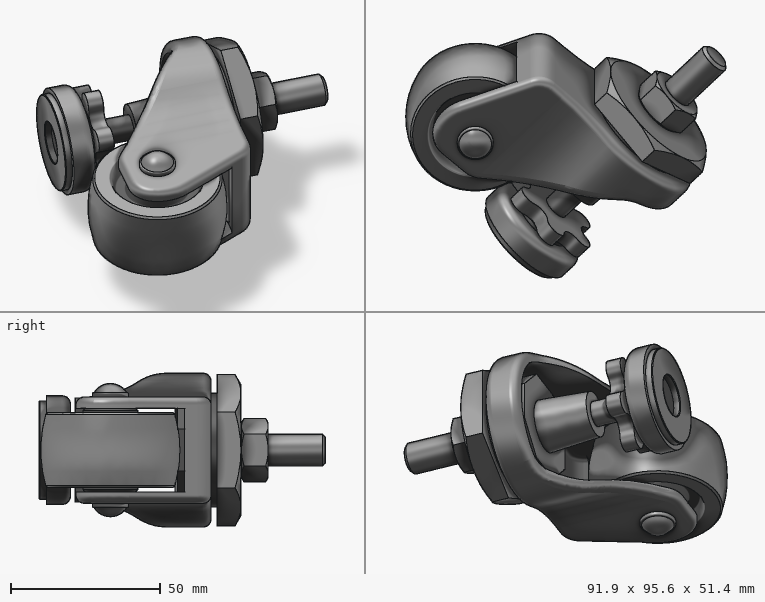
import cadquery as cq
import math


overall_length = 95.6
stem_top = 38.1
stem_radius = 5.4
stem_chamfer = 1.05
lock_nut_bottom = 10.1
lock_nut_top = 19.0
lock_nut_flat = 9.2
base_nut_bottom = 2.0
base_nut_top = 9.9
base_nut_flat = 21.9
nut_chamfer_angle = 30
collar_radius = 19.0

fork_radius = 25.7
beyond = 2 * fork_radius
sheet = 3.8
edge_round = 2.8
ceiling_round = 1.9
rear_depth = 12.1
arm_depth = 45.1
arm_half_width = 17.8
arm_straight_start = 33.4
arm_tip_radius = 14.5
nose_round = 7.7
nose_inner_round = 5.7
heel_round = 9.6
belly_round = 9.3
throat_round = 11.5
throat_x = -7.9
belly_x = 34.1

axle_x = 43.0
axle_y = -33.65
wheel_radius = 23.2
wheel_edge_radius = 21.6
wheel_half_width = 12.5
wheel_edge_band = 0.7
wheel_face_radius = 20.9
recess_radius = 15.8
recess_floor_radius = 14.1
recess_depth = 4.8
recess_round = 0.7
hub_radius = 9.2
hub_base_radius = 10.6
hub_chamfer = 0.8
wheel_clearance = 1.9
rivet_flange_radius = 6.0
rivet_flange_height = 1.4
rivet_flange_round = 0.5
rivet_dome_radius = 5.45
rivet_dome_height = 3.1

socket_flat = 16.8
socket_bottom = -11.2
sleeve_bottom = -29.6
sleeve_top_radius = 9.1
sleeve_bottom_radius = 7.8
spindle_radius = 4.3
knob_top = -40.15
knob_bottom = -45.4
knob_lobes = 6
knob_lobe_radius = 3.8
knob_lobe_pitch_radius = 13.6
neck_radius = 11.1
foot_top = -46.9
foot_bottom = -55.1
foot_radius = 18.2
foot_round = 2.9
pad_bottom = stem_top - overall_length
pad_radius = 16.4
pad_edge_chamfer = 0.3
pad_recess_radius = 7.1
pad_recess_depth = 2.4


def disc(radius, y_low, y_high):
    """Cylinder on the spindle axis between two heights."""
    return cq.Workplane("XZ", origin=(0, y_high, 0)).circle(radius).extrude(y_high - y_low)


def across_corners(flat, sides):
    """Diameter through the corners of a regular polygon."""
    return 2 * flat / math.cos(math.pi / sides)


def prism(flat, sides, y_low, y_high):
    """Regular prism on the spindle axis with a flat facing +X."""
    return (
        cq.Workplane("XZ", origin=(0, y_high, 0))
        .polygon(sides, across_corners(flat, sides))
        .extrude(y_high - y_low)
        .rotate((0, 0, 0), (0, 1, 0), 180 / sides)
    )


def hex_nut(flat, y_low, y_high, bottom_chamfer):
    """Hexagon nut with corners on Z and conical chamfers on its end faces."""
    corner = across_corners(flat, 6) / 2
    drop = (corner - flat) * math.tan(math.radians(nut_chamfer_angle))
    outline = cq.Workplane("XY").moveTo(0, y_high).lineTo(flat, y_high).lineTo(corner, y_high - drop)
    if bottom_chamfer:
        outline = outline.lineTo(corner, y_low + drop).lineTo(flat, y_low)
    else:
        outline = outline.lineTo(corner, y_low)
    envelope = outline.lineTo(0, y_low).close().revolve(360, (0, 0, 0), (0, 1, 0))
    return prism(flat, 6, y_low, y_high).intersect(envelope)


def stem_and_nuts():
    stem = disc(stem_radius, 0, stem_top).faces(">Y").chamfer(stem_chamfer)
    lock_nut = hex_nut(lock_nut_flat, lock_nut_bottom, lock_nut_top, True)
    base_nut = hex_nut(base_nut_flat, base_nut_bottom, base_nut_top, False)
    spacer = disc(lock_nut_flat, base_nut_top, lock_nut_bottom)
    collar = disc(collar_radius, 0, base_nut_bottom)
    return stem.union(lock_nut).union(spacer).union(base_nut).union(collar)


def fork_plan(inset, length):
    """Keyhole outline in X-Z, moved inward by an inset and extruded down from Y = 0."""
    bend_radius = (arm_straight_start**2 + arm_half_width**2 - fork_radius**2) / (
        2 * (fork_radius - arm_half_width)
    )
    bend_z = arm_half_width + bend_radius
    meet_angle = math.atan2(bend_z, arm_straight_start)
    middle_angle = (meet_angle + math.pi / 2) / 2
    rear = fork_radius - inset
    bend = bend_radius + inset
    half = arm_half_width - inset
    meet = (rear * math.cos(meet_angle), rear * math.sin(meet_angle))
    middle = (
        arm_straight_start - bend * math.cos(middle_angle),
        bend_z - bend * math.sin(middle_angle),
    )
    return (
        cq.Workplane("XZ")
        .moveTo(length, -half)
        .lineTo(length, half)
        .lineTo(arm_straight_start, half)
        .threePointArc(middle, meet)
        .threePointArc((-rear, 0), (meet[0], -meet[1]))
        .threePointArc((middle[0], -middle[1]), (arm_straight_start, -half))
        .close()
        .extrude(arm_depth)
    )


def tip_line(offset):
    """Two points on the sloping front edge, the first at Y = -offset, moved inward by the offset."""
    slope = math.asin(arm_tip_radius / -axle_y)
    top_x = axle_x - offset / math.cos(slope) + offset * math.tan(slope)
    reach = math.sqrt(axle_y**2 - arm_tip_radius**2)
    end = (top_x + reach * math.sin(slope), -offset - reach * math.cos(slope))
    return (top_x, -offset), end


def fork_profile():
    """Side outline of the fork in X-Y as a slab thicker than the fork is wide."""
    nose, tip_start = tip_line(0)
    heel_y = -arm_depth + heel_round
    heel_x = axle_x + math.sqrt((arm_tip_radius - heel_round) ** 2 - (heel_y - axle_y) ** 2)
    heel_angle = math.atan2(heel_y - axle_y, heel_x - axle_x)
    tip_end = (
        axle_x + arm_tip_radius * math.cos(heel_angle),
        axle_y + arm_tip_radius * math.sin(heel_angle),
    )
    heel_mid_angle = (heel_angle - math.pi / 2) / 2
    heel_mid = (
        heel_x + heel_round * math.cos(heel_mid_angle),
        heel_y + heel_round * math.sin(heel_mid_angle),
    )
    slab = (
        cq.Workplane("XY", origin=(0, 0, -beyond))
        .moveTo(-beyond, 0)
        .lineTo(*nose)
        .lineTo(*tip_start)
        .threePointArc((axle_x + arm_tip_radius, axle_y), tip_end)
        .threePointArc(heel_mid, (heel_x, -arm_depth))
        .lineTo(belly_x, -arm_depth)
        .lineTo(throat_x, -rear_depth)
        .lineTo(-beyond, -rear_depth)
        .close()
        .extrude(2 * beyond)
    )
    for corner, radius in (
        (nose, nose_round),
        ((belly_x, -arm_depth), belly_round),
        ((throat_x, -rear_depth), throat_round),
    ):
        slab = slab.edges(cq.NearestToPointSelector((*corner, 0))).fillet(radius)
    return slab


def fork_cavity():
    """Space between the arms, closed by the mounting plate and the bent front lip."""
    roof, lip = tip_line(sheet)
    slab = (
        cq.Workplane("XY", origin=(0, 0, -beyond))
        .moveTo(-beyond, -sheet)
        .lineTo(*roof)
        .lineTo(*lip)
        .lineTo(lip[0], -2 * arm_depth)
        .lineTo(-beyond, -2 * arm_depth)
        .close()
        .extrude(2 * beyond)
        .edges(cq.NearestToPointSelector((*roof, 0)))
        .fillet(nose_inner_round)
    )
    cavity = fork_plan(sheet, axle_x + beyond).intersect(slab)
    cavity = cavity.faces(">Y").edges("not |Z").fillet(ceiling_round)
    inner_half_width = arm_half_width - sheet
    wheel_space = (
        cq.Workplane("XY", origin=(axle_x, axle_y, -inner_half_width))
        .circle(wheel_radius + wheel_clearance)
        .extrude(2 * inner_half_width)
    )
    return cavity.union(wheel_space)


def fork():
    body = fork_plan(0, axle_x + beyond).intersect(fork_profile())
    body = body.edges("not (|Y or |Z)").fillet(edge_round)
    return body.cut(fork_cavity())


def wheel():
    """Barrel-shaped tread with a tapered annular recess around a hub on each side."""
    band_z = wheel_half_width - wheel_edge_band
    floor_z = wheel_half_width - recess_depth
    barrel = (
        cq.Workplane("XZ")
        .moveTo(0, wheel_half_width)
        .lineTo(wheel_face_radius, wheel_half_width)
        .lineTo(wheel_edge_radius, band_z)
        .threePointArc((wheel_radius, 0), (wheel_edge_radius, -band_z))
        .lineTo(wheel_face_radius, -wheel_half_width)
        .lineTo(0, -wheel_half_width)
        .close()
        .revolve(360, (0, 0, 0), (0, 1, 0))
    )
    recess = (
        cq.Workplane("XZ")
        .moveTo(hub_radius, wheel_half_width)
        .lineTo(hub_base_radius, floor_z)
        .lineTo(recess_floor_radius, floor_z)
        .lineTo(recess_radius, wheel_half_width)
        .close()
        .revolve(360, (0, 0, 0), (0, 1, 0))
        .faces("<Z")
        .edges()
        .fillet(recess_round)
    )
    hub_z = arm_half_width - sheet
    hub = cq.Workplane("XY").circle(hub_radius).extrude(2 * hub_z).translate((0, 0, -hub_z))
    hub = hub.faces("|Z").edges().chamfer(hub_chamfer)
    body = barrel.cut(recess).cut(recess.mirror("XY"))
    rims = cq.selectors.RadiusNthSelector(1)
    body = body.faces("<Z or >Z").edges("%CIRCLE").edges(rims).fillet(recess_round)
    return body.union(hub).translate((axle_x, axle_y, 0))


def rivet_head():
    """Flange and dome on the upper arm's outer face."""
    flange = (
        cq.Workplane("XY", origin=(0, 0, arm_half_width))
        .circle(rivet_flange_radius)
        .extrude(rivet_flange_height)
        .faces(">Z")
        .fillet(rivet_flange_round)
    )
    dome_z = arm_half_width + rivet_flange_height
    dome_curve = (rivet_dome_radius**2 + rivet_dome_height**2) / (2 * rivet_dome_height)
    dome = (
        cq.Workplane("XY")
        .sphere(dome_curve)
        .translate((0, 0, dome_z + rivet_dome_height - dome_curve))
    )
    keep = cq.Workplane("XY", origin=(0, 0, dome_z)).circle(rivet_dome_radius).extrude(dome_curve)
    return flange.union(dome.intersect(keep)).translate((axle_x, axle_y, 0))


def knob():
    """Star knob: round lobes joined by tangent scallops, one lobe on +Z."""
    step = 2 * math.pi / knob_lobes
    scallop_pitch_radius = knob_lobe_pitch_radius / math.cos(step / 2)
    scallop_radius = knob_lobe_pitch_radius * math.tan(step / 2) - knob_lobe_radius

    def polar(radius, angle):
        return (radius * math.cos(angle), radius * math.sin(angle))

    def joint(lobe_angle, side):
        x, z = polar(knob_lobe_pitch_radius, lobe_angle)
        dx, dz = polar(knob_lobe_radius, lobe_angle + side * math.pi / 2)
        return (x + dx, z + dz)

    star = cq.Workplane("XZ", origin=(0, knob_top, 0)).moveTo(*joint(math.pi / 2, -1))
    for index in range(knob_lobes):
        angle = math.pi / 2 + index * step
        lobe_tip = polar(knob_lobe_pitch_radius + knob_lobe_radius, angle)
        scallop_floor = polar(scallop_pitch_radius - scallop_radius, angle + step / 2)
        star = star.threePointArc(lobe_tip, joint(angle, 1))
        star = star.threePointArc(scallop_floor, joint(angle + step, -1))
    return star.close().extrude(knob_top - knob_bottom)


def foot():
    neck = disc(neck_radius, foot_top, knob_bottom)
    cup = disc(foot_radius, foot_bottom, foot_top).faces(">Y").edges().fillet(foot_round)
    pad = disc(pad_radius, pad_bottom, foot_bottom)
    pad = pad.cut(disc(pad_recess_radius, pad_bottom, pad_bottom + pad_recess_depth))
    pad = pad.faces("<Y").edges().chamfer(pad_edge_chamfer)
    return neck.union(cup).union(pad)


def spindle():
    socket = prism(socket_flat, 8, socket_bottom, -sheet)
    sleeve = (
        cq.Workplane("XY")
        .moveTo(0, socket_bottom)
        .lineTo(sleeve_top_radius, socket_bottom)
        .lineTo(sleeve_bottom_radius, sleeve_bottom)
        .lineTo(0, sleeve_bottom)
        .close()
        .revolve(360, (0, 0, 0), (0, 1, 0))
    )
    rod = disc(spindle_radius, knob_top, sleeve_bottom)
    return socket.union(sleeve).union(rod)


upper_rivet = rivet_head()
result = (
    fork()
    .union(stem_and_nuts())
    .union(spindle())
    .union(knob())
    .union(foot())
    .union(wheel())
    .union(upper_rivet)
    .union(upper_rivet.mirror("XY"))
)